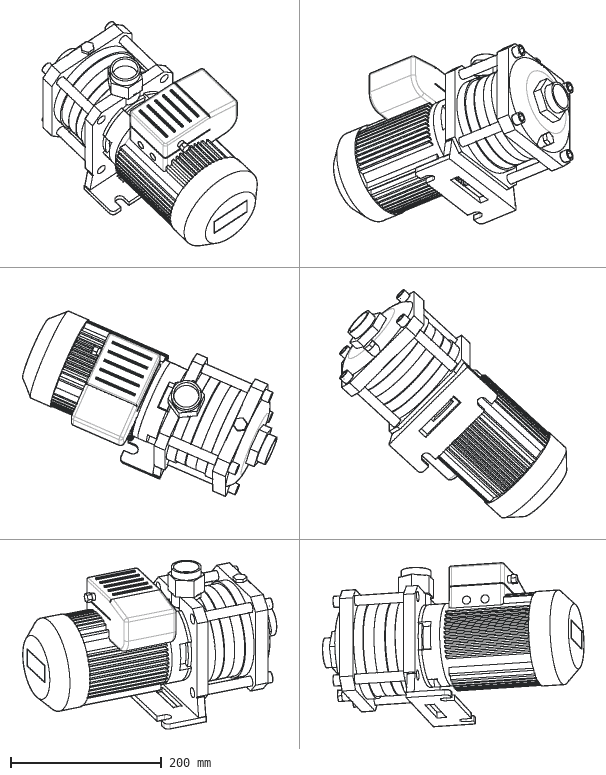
import cadquery as cq
import math


nut_x = 11.5
dome_x = 23.5
front_plate_x = 35.3
front_collar_x = 53.8
casing_x = 66.5
rear_collar_x = 110.3
rear_plate_x = 123.0
spigot_x = 138.7
window_x = 143.5
window_end_x = 156.0
motor_x = 168.8
fins_x = 176.7
fan_cover_x = 292.0
fan_cone_x = 321.5
fan_end_x = 341.7
badge_end_x = 342.5

pipe_d = 39.7
bore_d = 33.5
suction_bore_depth = 19.0
suction_nut_flats = 50.0
outlet_nut_flats = 42.0
outlet_bore_depth = 15.0
outlet_nut_top = 93.8
outlet_top = 104.0

plate_side = 138.5
plate_corner = 15.5
plate_top = plate_side / 2
collar_d = 130.0
dome_face_r = 44.0
dome_bulge_x = 29.0
dome_bulge_r = 60.5
dome_r = 66.8

vent_flats = 16.0
vent_height = 4.5
drain_x = 17.5
drain_head_length = 5.8
drain_z = -60.3
drain_flats = 15.0
drain_turn = 15.0
drain_shank_d = 15.0

bolt_offset = 54.0
bolt_d = 13.5
bolt_head_d = 15.0
bolt_head_x = 24.5
socket_flats = 10.0
socket_depth = 5.0

stage_length = (rear_collar_x - casing_x) / 3
first_stage_d = 125.0
stage_d = 125.3
stage_gap = 1.0

adapter_d = 110.0
spigot_d = 109.5
window_half_width = 19.2
window_floor_r = 44.5
notch_floor_r = 51.5

foot_x = 128.0
foot_end_x = 187.0
foot_bottom = -90.0
foot_thickness = 7.5
foot_half_width = 75.0
foot_shoulder_z = -55.5
slot_width = 13.5
slot_y = 53.5
slot_x = 176.5
foot_corner_r = 6.0

core_d = adapter_d
fin_tip_d = 123.5
fin_thickness = 2.0
thick_fin = 3.0
side_fin_pitch = 6.0
side_fin_count = 11
top_fin_pitch = 6.0
top_fin_count = 7
outer_top_fins = (25.5, 34.5)
fan_cover_d = 126.0
fan_end_r = 43.0
badge_width = 56.0
badge_height = 24.5
badge_z = 2.5

box_x = fins_x
box_end_x = 252.0
box_front_y = -38.5
box_split_y = 39.5
box_back_y = 88.5
box_top = 98.0
box_bottom = 36.0
box_edge_r = 4.5
lid_edge_r = 2.5
hood_top = 99.0
hood_back_top = 90.0
hood_bottom_r = 22.3
lid_joint_z = 68.8
lid_joint_height = 1.0
lid_joint_depth = 0.5
knockout_d = 11.0
knockout_depth = 0.5
knockout_x = (201.5, 226.5)
knockout_z = 49.0
louvre_x = 185.5
louvre_length = 57.0
louvre_width = 2.7
louvre_slit = 1.0
louvre_height = 1.7
louvre_pitch = 13.5
louvre_count = 5
gland_y = -11.5
gland_z = 81.0
gland_shank_d = 10.0
gland_flats = 11.0
gland_nut_x = 256.8
gland_end_x = 263.5


def block(x0, x1, y0, y1, z0, z1):
    return cq.Workplane("XY").box(x1 - x0, y1 - y0, z1 - z0, centered=False).translate((x0, y0, z0))


def rod(x0, x1, diameter, y=0, z=0):
    """Cylinder along X."""
    return cq.Workplane("YZ", origin=(x0, y, z)).circle(diameter / 2).extrude(x1 - x0)


def post(x, z0, z1, diameter):
    """Cylinder along Z, centred on Y = 0."""
    return cq.Workplane("XY", origin=(x, 0, z0)).circle(diameter / 2).extrude(z1 - z0)


def hexagon_corners(flats):
    """Diameter across the corners of a hexagon."""
    return flats / math.cos(math.pi / 6)


def hex_rod(x0, x1, flats, y=0, z=0, turn=0):
    """Hexagonal prism along X with corners at +Y and -Y before it is turned."""
    prism = cq.Workplane("YZ").polygon(6, hexagon_corners(flats)).extrude(x1 - x0)
    return prism.rotate((0, 0, 0), (1, 0, 0), turn).translate((x0, y, z))


def hex_post(x, z0, z1, flats):
    """Hexagonal prism along Z with corners at +Y and -Y."""
    prism = cq.Workplane("XY").polygon(6, hexagon_corners(flats)).extrude(z1 - z0)
    return prism.rotate((0, 0, 0), (0, 0, 1), 90).translate((x, 0, z0))


def corners():
    """Y and Z of the four tie bolts."""
    return [(y, z) for y in (-bolt_offset, bolt_offset) for z in (-bolt_offset, bolt_offset)]


def end_plate(x0, x1):
    """Square plate with cut corners and four tie-bolt holes."""
    plate = block(x0, x1, -plate_top, plate_top, -plate_top, plate_top)
    plate = plate.edges("|X").chamfer(plate_corner)
    for y, z in corners():
        plate = plate.cut(rod(x0, x1, bolt_d, y, z))
    return plate


def make_front_cover():
    dome = (
        cq.Workplane("XY")
        .moveTo(dome_x, 0)
        .lineTo(dome_x, dome_face_r)
        .threePointArc((dome_bulge_x, dome_bulge_r), (front_plate_x, dome_r))
        .lineTo(front_plate_x, 0)
        .close()
        .revolve(360, (0, 0, 0), (1, 0, 0))
    )
    cover = end_plate(front_plate_x, front_collar_x).union(dome)
    for y, z in corners():
        cover = cover.cut(rod(bolt_head_x, front_plate_x, bolt_head_d, y, z))
    cover = cover.union(rod(front_collar_x, casing_x, collar_d))

    cover = cover.union(hex_rod(nut_x, dome_x, suction_nut_flats))
    cover = cover.union(rod(0, nut_x, pipe_d))
    cover = cover.cut(rod(0, suction_bore_depth, bore_d))

    vent_x = (front_plate_x + front_collar_x) / 2
    cover = cover.union(hex_post(vent_x, plate_top, plate_top + vent_height, vent_flats))
    shank_x = drain_x + drain_head_length
    cover = cover.union(hex_rod(drain_x, shank_x, drain_flats, 0, drain_z, drain_turn))
    return cover.union(rod(shank_x, front_plate_x, drain_shank_d, 0, drain_z))


def make_stage_casing():
    second_x = casing_x + stage_length
    third_x = second_x + stage_length
    casing = rod(casing_x, second_x, first_stage_d).union(rod(second_x, rear_collar_x, stage_d))
    groove_end_x = third_x + stage_gap
    groove = rod(third_x, groove_end_x, stage_d).cut(rod(third_x, groove_end_x, first_stage_d))
    return casing.cut(groove)


def make_foot():
    """Upright that widens downwards, on a sole with two slots open at the motor end."""
    upright = (
        cq.Workplane("YZ", origin=(foot_x, 0, 0))
        .polyline([
            (-plate_top, foot_shoulder_z),
            (plate_top, foot_shoulder_z),
            (foot_half_width, foot_bottom),
            (-foot_half_width, foot_bottom),
        ])
        .close()
        .extrude(spigot_x - foot_x)
    )
    foot_top = foot_bottom + foot_thickness
    sole = block(foot_x, foot_end_x, -foot_half_width, foot_half_width, foot_bottom, foot_top)
    for side in (-1, 1):
        y = side * slot_y
        slot = block(slot_x, foot_end_x, y - slot_width / 2, y + slot_width / 2, foot_bottom, foot_top)
        slot_end = post(slot_x, foot_bottom, foot_top, slot_width).translate((0, y, 0))
        sole = sole.cut(slot).cut(slot_end)
    sole = sole.edges("|Z and >X").edges("<Y or >Y").fillet(foot_corner_r)
    return upright.union(sole)


def make_window(x0, x1, floor_r):
    """Tool for one window at +Z, with radial side walls and a round floor."""
    reach = adapter_d
    half_reach = reach * window_half_width / math.sqrt((adapter_d / 2) ** 2 - window_half_width ** 2)
    wedge = (
        cq.Workplane("YZ", origin=(x0, 0, 0))
        .polyline([(0, 0), (half_reach, reach), (-half_reach, reach)])
        .close()
        .extrude(x1 - x0)
    )
    return wedge.cut(rod(x0, x1, 2 * floor_r))


def make_discharge_head(casing):
    head = end_plate(rear_plate_x, spigot_x)
    head = head.union(make_foot())
    for y, z in corners():
        head = head.cut(rod(rear_plate_x, spigot_x, bolt_d, y, z))
    head = head.union(rod(rear_collar_x, rear_plate_x, collar_d))
    head = head.union(rod(spigot_x, window_x, spigot_d))
    head = head.union(rod(window_x, motor_x, adapter_d))

    window = make_window(window_x, window_end_x, window_floor_r)
    notch = make_window(spigot_x, window_x, notch_floor_r)
    for turn in (0, 90, 180, 270):
        head = head.cut(window.rotate((0, 0, 0), (1, 0, 0), turn))
        if turn != 180:
            head = head.cut(notch.rotate((0, 0, 0), (1, 0, 0), turn))

    port = post(rear_plate_x, notch_floor_r, outlet_top, pipe_d)
    port = port.union(hex_post(rear_plate_x, plate_top, outlet_nut_top, outlet_nut_flats))
    port = port.cut(post(rear_plate_x, outlet_top - outlet_bore_depth, outlet_top, bore_d))
    return head.union(port).cut(casing)


def make_tie_bolt(y, z):
    bolt = rod(bolt_head_x, front_plate_x, bolt_head_d, y, z)
    bolt = bolt.union(rod(front_plate_x, spigot_x, bolt_d, y, z))
    return bolt.cut(hex_rod(bolt_head_x, bolt_head_x + socket_depth, socket_flats, y, z))


def make_lid_part():
    """Upright front part of the box, with the louvred lid."""
    lid = block(box_x, box_end_x, box_front_y, box_split_y, 0, box_top)
    lid = lid.edges("|Z and <Y").fillet(box_edge_r)
    lid = lid.faces(">Z").edges().fillet(lid_edge_r)

    joint_top = lid_joint_z + lid_joint_height
    band = block(box_x, box_end_x, box_front_y, box_split_y, lid_joint_z, joint_top)
    inner = block(
        box_x + lid_joint_depth, box_end_x - lid_joint_depth,
        box_front_y + lid_joint_depth, box_split_y,
        lid_joint_z, joint_top,
    ).edges("|Z and <Y").fillet(box_edge_r)
    lid = lid.cut(band.cut(inner))

    for x in knockout_x:
        knockout = cq.Workplane("XZ", origin=(x, box_front_y, knockout_z)).circle(knockout_d / 2)
        lid = lid.cut(knockout.extrude(-knockout_depth))

    louvre_end_x = louvre_x + louvre_length
    louvre_top = box_top + louvre_height
    for i in range(louvre_count):
        y = (i - (louvre_count - 1) / 2) * louvre_pitch
        ridge = block(louvre_x, louvre_end_x, y - louvre_width / 2, y + louvre_width / 2, box_top, louvre_top)
        slit = block(louvre_x, louvre_end_x, y - louvre_slit / 2, y + louvre_slit / 2, box_top, louvre_top)
        lid = lid.union(ridge.cut(slit))
    return lid


def make_hood():
    """Sloped rear part of the box, rounded underneath."""
    arc_mid = hood_bottom_r * math.sqrt(0.5)
    arc_y = box_back_y - hood_bottom_r
    arc_z = box_bottom + hood_bottom_r
    hood = (
        cq.Workplane("YZ", origin=(box_x, 0, 0))
        .moveTo(box_split_y, box_bottom)
        .lineTo(box_split_y, hood_top)
        .lineTo(box_back_y, hood_back_top)
        .lineTo(box_back_y, arc_z)
        .threePointArc((arc_y + arc_mid, arc_z - arc_mid), (arc_y, box_bottom))
        .close()
        .extrude(box_end_x - box_x)
    )
    hood = hood.faces(">Y").edges("|X").edges(">Z").fillet(box_edge_r)
    joined_face = cq.selectors.BoxSelector(
        (box_x - 3.5, box_split_y - 0.5, 0),
        (box_end_x + 3.5, box_split_y + 0.5, box_top + hood_top),
    )
    end_rims = hood.faces("<X or >X").edges(cq.selectors.InverseSelector(joined_face))
    return end_rims.fillet(box_edge_r)


def make_terminal_box():
    box = make_lid_part().union(make_hood())
    below = block(box_x, box_end_x, box_front_y, box_back_y, 0, box_bottom)
    box = box.cut(below)
    box = box.cut(rod(box_x, box_end_x, core_d))

    box = box.union(rod(box_end_x, gland_nut_x, gland_shank_d, gland_y, gland_z))
    return box.union(hex_rod(gland_nut_x, gland_end_x, gland_flats, gland_y, gland_z))


def make_fins():
    """Motor core with level fins at its sides and upright fins above and below."""
    reach = fin_tip_d / 2

    def side_fin(z, thickness):
        return block(fins_x, fan_cover_x, -reach, reach, z - thickness / 2, z + thickness / 2)

    def top_fin(y, thickness):
        return block(fins_x, fan_cover_x, y - thickness / 2, y + thickness / 2, -reach, reach)

    fins = rod(fins_x, fan_cover_x, core_d)
    for i in range(side_fin_count):
        fins = fins.union(side_fin((i - (side_fin_count - 1) / 2) * side_fin_pitch, fin_thickness))
    for i in range(top_fin_count):
        fins = fins.union(top_fin((i - (top_fin_count - 1) / 2) * top_fin_pitch, fin_thickness))
    for offset in outer_top_fins:
        for side in (-1, 1):
            fins = fins.union(top_fin(side * offset, thick_fin))
    return fins.intersect(rod(fins_x, fan_cover_x, fin_tip_d))


def make_motor(terminal_box):
    fan_cover = (
        cq.Workplane("XY")
        .polyline([
            (fan_cover_x, 0),
            (fan_cover_x, fan_cover_d / 2),
            (fan_cone_x, fan_cover_d / 2),
            (fan_end_x, fan_end_r),
            (fan_end_x, 0),
        ])
        .close()
        .revolve(360, (0, 0, 0), (1, 0, 0))
    )
    badge = block(
        fan_end_x, badge_end_x, -badge_width / 2, badge_width / 2,
        badge_z - badge_height / 2, badge_z + badge_height / 2,
    )
    motor = rod(motor_x, fins_x, core_d).union(make_fins())
    return motor.cut(terminal_box).union(fan_cover).union(badge)


front_cover = make_front_cover()
stage_casing = make_stage_casing()
discharge_head = make_discharge_head(stage_casing)
tie_bolts = [make_tie_bolt(y, z) for y, z in corners()]
terminal_box = make_terminal_box()
motor = make_motor(terminal_box)

result = cq.Compound.makeCompound([
    front_cover.val(),
    stage_casing.val(),
    discharge_head.val(),
    *[bolt.val() for bolt in tie_bolts],
    terminal_box.val(),
    motor.val(),
])